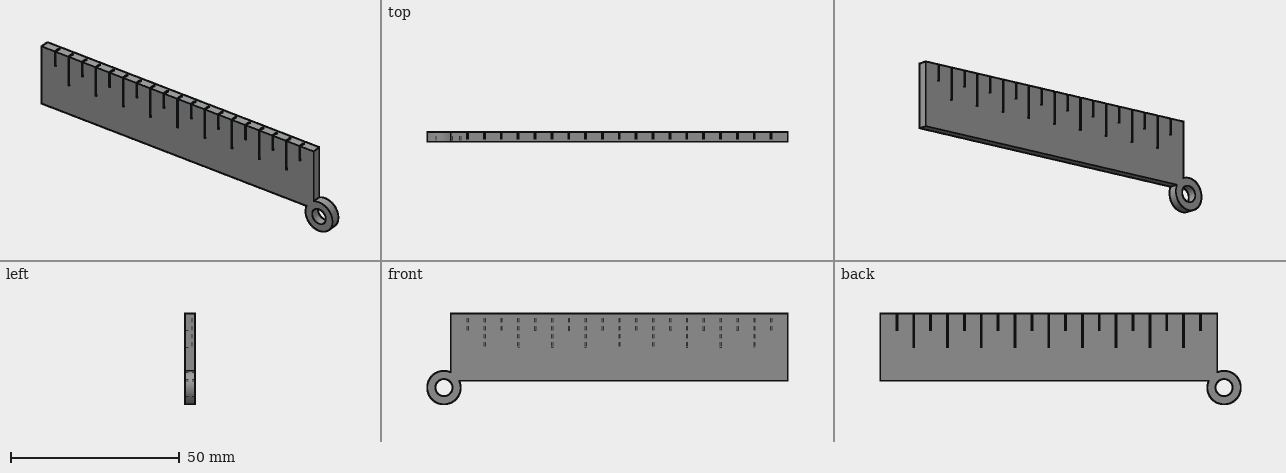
import cadquery as cq

plate_length = 100.0
plate_height = 20.0
thickness = 3.0

eye_diameter = 10.0
eye_hole_diameter = 5.0
eye_offset = 2.0

groove_pitch = 5.0
groove_width = 0.4
groove_depth = 2.0
long_groove_length = plate_height / 2
short_groove_length = long_groove_length / 2
groove_count = round(plate_length / groove_pitch) - 1


def make_plate():
    return cq.Workplane("XY").box(plate_length, thickness, plate_height, centered=False)


def make_eye_cylinder(diameter):
    """Cylinder along Y through the full thickness, centred on the eye."""
    return (
        cq.Workplane("XZ")
        .center(-eye_offset, -eye_offset)
        .circle(diameter / 2)
        .extrude(-thickness)
    )


def make_groove(x_center, length):
    """Groove of the given length, open at the top edge and the back face."""
    groove = cq.Workplane("XY").box(groove_width, groove_depth, length, centered=False)
    corner = (x_center - groove_width / 2, thickness - groove_depth, plate_height - length)
    return groove.translate(corner)


def cut_graduations(plate):
    """Every second groove is a long one, the others are short."""
    for index in range(1, groove_count + 1):
        is_long = index % 2 == 0
        length = long_groove_length if is_long else short_groove_length
        plate = plate.cut(make_groove(index * groove_pitch, length))
    return plate


ruler = cut_graduations(make_plate())
ruler_with_eye = ruler.union(make_eye_cylinder(eye_diameter))
result = ruler_with_eye.cut(make_eye_cylinder(eye_hole_diameter))